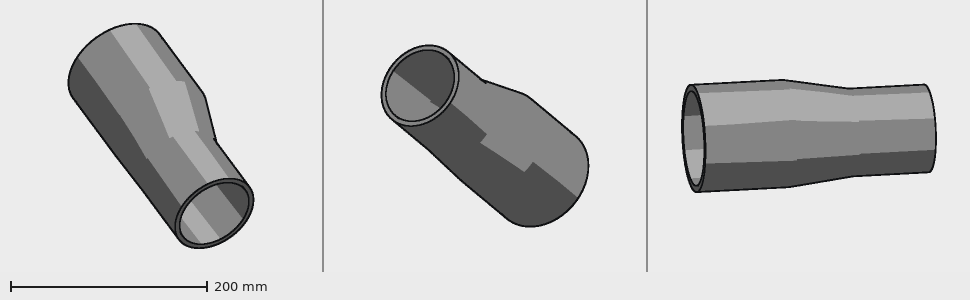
import cadquery as cq

total_length = 241.0
large_end_length = 96.0
taper_length = 65.8
large_outer_diameter = 110.0
large_bore_diameter = 97.0
small_outer_diameter = 90.0
small_bore_diameter = 79.3

taper_end = large_end_length + taper_length
small_end_length = total_length - taper_end
small_axis_y = -(large_outer_diameter - small_outer_diameter) / 2


def reducer_solid(large_diameter, small_diameter):
    """Large cylinder, slanted taper and small cylinder joined end to end."""
    large_end = cq.Workplane("YZ").circle(large_diameter / 2).extrude(large_end_length)
    taper = (
        cq.Workplane("YZ", origin=(large_end_length, 0, 0))
        .circle(large_diameter / 2)
        .workplane(offset=taper_length)
        .center(small_axis_y, 0)
        .circle(small_diameter / 2)
        .loft(ruled=True, combine=True)
    )
    small_end = (
        cq.Workplane("YZ", origin=(taper_end, small_axis_y, 0))
        .circle(small_diameter / 2)
        .extrude(small_end_length)
    )
    return large_end.union(taper).union(small_end)


body = reducer_solid(large_outer_diameter, small_outer_diameter)
bore = reducer_solid(large_bore_diameter, small_bore_diameter)
result = body.cut(bore)